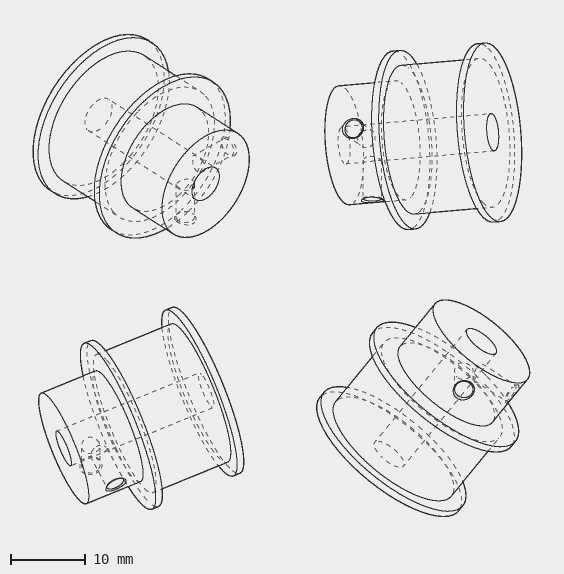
import cadquery as cq

flange_diameter = 24.0
flange_thickness = 1.0
belt_diameter = 20.0
belt_width = 11.0
hub_diameter = 16.0
hub_length = 8.0
bore_diameter = 5.0

screw_hole_diameter = 2.46
countersink_diameter = 3.0

inner_flange_start = flange_thickness + belt_width
hub_start = inner_flange_start + flange_thickness
total_length = hub_start + hub_length
screw_hole_x = hub_start + hub_length / 2
countersink_depth = (countersink_diameter - screw_hole_diameter) / 2


def cylinder_along_x(diameter, start, length):
    """Cylinder on the X axis that begins at x = start."""
    return cq.Workplane("YZ", origin=(start, 0, 0)).circle(diameter / 2).extrude(length)


def radial_hole(direction):
    """Countersunk cutter that runs from the X axis out through the hub wall in the given direction."""
    hub_radius = hub_diameter / 2
    hole_radius = screw_hole_diameter / 2
    axis_point = cq.Vector(screw_hole_x, 0, 0)
    countersink_bottom = axis_point + direction * (hub_radius - countersink_depth)
    hole = cq.Solid.makeCylinder(hole_radius, hub_radius, axis_point, direction)
    countersink = cq.Solid.makeCone(
        hole_radius, countersink_diameter / 2, countersink_depth, countersink_bottom, direction
    )
    return cq.Workplane(hole).union(cq.Workplane(countersink))


result = cylinder_along_x(belt_diameter, 0, hub_start)
for flange_start in (0, inner_flange_start):
    result = result.union(cylinder_along_x(flange_diameter, flange_start, flange_thickness))
result = result.union(cylinder_along_x(hub_diameter, hub_start, hub_length))

result = result.cut(cylinder_along_x(bore_diameter, 0, total_length))

for hole_direction in (cq.Vector(0, 1, 0), cq.Vector(0, 0, -1)):
    result = result.cut(radial_hole(hole_direction))